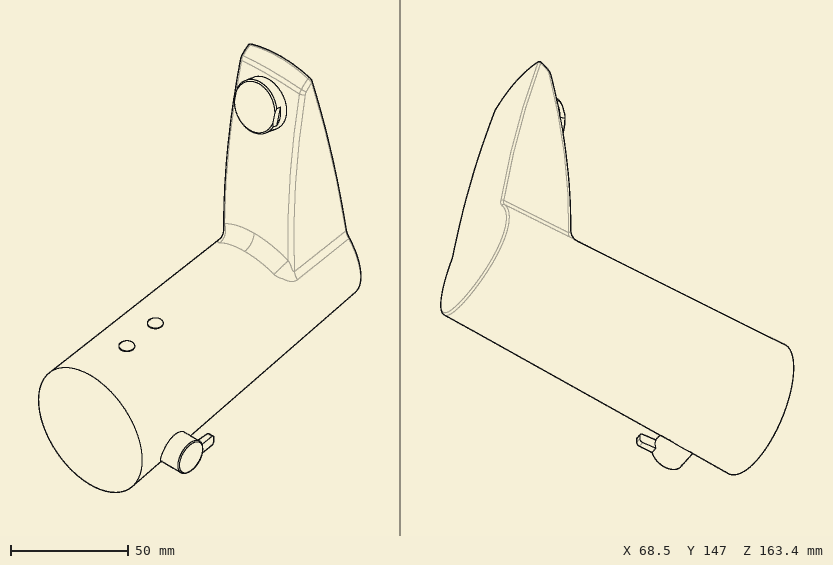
import cadquery as cq
import math


front_radius = 60.0 / 2
radius_loss = 0.022
barrel_tilt = 6.75
tilt_slope = math.tan(math.radians(barrel_tilt))
barrel_length = 158.5
barrel_lead = 16.3

column_base_z = 19.6
column_height = 117.7
column_front_y = 88.3
column_base_half_width = 20.5
side_draft = 1.1
column_edge_fillet = 2.0
column_brow_fillet = 4.1
base_fillet = 6.5
back_edge_fillet = 1.0

back_bottom = (147.0, -9.2)
back_top = (120.5, 133.5)
back_bulge = 3.5
back_crown_radius = 147.1
brow = (113.1, 128.3)
front_bottom = (103.3, 43.5)
front_bulge = 2.5
front_crown_radius = 122.6
top_bulge = 0.5
top_crown_radius = 81.7
shaving_thickness = 40.9
front_overrun = 27.8
top_overrun = 6.5
back_overrun = 14.7

disc_diameter = 24.0
disc_depth = 13.0
disc_face_y = 103.6
disc_face_z = 115.2
disc_tilt = 15.0
disc_chamfer = 0.7
flat_distance = 22.2
flat_depth = 3.1

button_places_y = (23.0, 41.0)
button_diameter = 6.9
button_height = 1.5
button_root = 2.5

overall_width = 68.5
knob_diameter = 15.7
knob_end_x = overall_width - front_radius
knob_y = 21.5
knob_z = -6.9
knob_chamfer = 0.5
lever_tip_y = 37.1
lever_inner_x = 34.8
lever_tip_x = 37.5
lever_height = 4.9
lever_tip_fillet = 1.5


def barrel_top_z(y):
    return tilt_slope * y + (front_radius - radius_loss * y) / math.cos(math.radians(barrel_tilt))


def crowned_shaving(start, end, bulge, crown_radius, overrun):
    """Ring whose inner face is arched from start to end and crowned across X.

    The outside of the face lies to the left of the way from start to end, seen from +X.
    """
    along_y = end[0] - start[0]
    along_z = end[1] - start[1]
    chord = math.hypot(along_y, along_z)
    arc_radius = chord**2 / (8 * bulge) + bulge / 2
    reach = chord / 2 + overrun
    reach_height = bulge - arc_radius + math.sqrt(arc_radius**2 - reach**2)
    middle = (0, (start[0] + end[0]) / 2, (start[1] + end[1]) / 2)
    plane = cq.Plane(origin=middle, xDir=(0, along_y, along_z), normal=(1, 0, 0))
    axis_height = bulge - crown_radius
    return (
        cq.Workplane(plane)
        .moveTo(-reach, reach_height)
        .threePointArc((0, bulge), (reach, reach_height))
        .lineTo(reach, shaving_thickness)
        .lineTo(-reach, shaving_thickness)
        .close()
        .revolve(360, (0, axis_height), (1, axis_height))
    )


def make_barrel():
    slanted_length = (barrel_length + barrel_lead) / math.cos(math.radians(barrel_tilt))
    start = cq.Vector(0, -barrel_lead, -barrel_lead * tilt_slope)
    cone = cq.Solid.makeCone(
        front_radius + radius_loss * barrel_lead,
        front_radius + radius_loss * (barrel_lead - slanted_length),
        slanted_length,
        start,
        cq.Vector(0, 1, tilt_slope),
    )
    envelope_side = 4 * front_radius
    envelope = cq.Workplane("XZ").rect(envelope_side, envelope_side).extrude(-barrel_length)
    return envelope.intersect(cq.Workplane(cone))


def make_column():
    lean = column_height * math.tan(math.radians(side_draft))
    outline = [
        (-column_base_half_width, column_base_z),
        (column_base_half_width, column_base_z),
        (column_base_half_width - lean, column_base_z + column_height),
        (lean - column_base_half_width, column_base_z + column_height),
    ]
    block = (
        cq.Workplane("XZ", origin=(0, barrel_length, 0))
        .polyline(outline)
        .close()
        .extrude(barrel_length - column_front_y)
    )
    front_cut = crowned_shaving(front_bottom, brow, front_bulge, front_crown_radius, front_overrun)
    top_cut = crowned_shaving(brow, back_top, top_bulge, top_crown_radius, top_overrun)
    column = block.cut(front_cut).cut(top_cut)
    column = column.edges(cq.NearestToPointSelector((0, *brow))).fillet(column_brow_fillet)
    front_middle_z = (front_bottom[1] + brow[1]) / 2
    for side in (-1, 1):
        front_side = (side * column_base_half_width, front_bottom[0], front_middle_z)
        column = column.edges(cq.NearestToPointSelector(front_side)).fillet(column_edge_fillet)
    return column


def make_disc():
    plane = cq.Plane(
        origin=(0, disc_face_y, disc_face_z),
        xDir=(1, 0, 0),
        normal=(0, -math.cos(math.radians(disc_tilt)), math.sin(math.radians(disc_tilt))),
    )
    disc = cq.Workplane(plane).circle(disc_diameter / 2).extrude(-disc_depth)
    disc = disc.faces(cq.NearestToPointSelector(plane.origin.toTuple())).chamfer(disc_chamfer)
    flats = (
        cq.Workplane(plane)
        .rect(2 * disc_diameter, 2 * disc_diameter)
        .rect(flat_distance, 2 * disc_diameter)
        .extrude(-flat_depth)
    )
    return disc.cut(flats)


def make_button(y):
    radius = button_diameter / 2
    rim_z = barrel_top_z(y)
    ball_radius = (radius**2 + button_height**2) / (2 * button_height)
    crown = cq.Workplane("XY", origin=(0, y, rim_z + button_height - ball_radius)).sphere(ball_radius)
    post = cq.Workplane("XY", origin=(0, y, rim_z - button_root)).circle(radius)
    return post.extrude(button_root + button_height).intersect(crown)


def make_knob():
    knob = (
        cq.Workplane("YZ", origin=(0, knob_y, knob_z))
        .circle(knob_diameter / 2)
        .extrude(knob_end_x)
        .faces(">X")
        .chamfer(knob_chamfer)
    )
    lever = (
        cq.Workplane("XY", origin=(0, 0, knob_z - lever_height / 2))
        .moveTo(lever_inner_x, knob_y)
        .lineTo(lever_inner_x, lever_tip_y)
        .lineTo(lever_tip_x, lever_tip_y)
        .lineTo(knob_end_x - knob_chamfer, knob_y + knob_diameter / 2)
        .lineTo(knob_end_x - knob_chamfer, knob_y)
        .close()
        .extrude(lever_height)
        .faces(">Y")
        .edges("|X")
        .fillet(lever_tip_fillet)
    )
    return knob.union(lever)


def make_shell():
    shell = make_barrel()
    for button_y in button_places_y:
        shell = shell.union(make_button(button_y))
    shell = shell.union(make_column())
    junction = (0, front_bottom[0], barrel_top_z(front_bottom[0]))
    shell = shell.edges(cq.NearestToPointSelector(junction)).fillet(base_fillet)
    back_cut = crowned_shaving(back_top, back_bottom, back_bulge, back_crown_radius, back_overrun)
    shell = shell.cut(back_cut)
    back_point = (0, (back_top[0] + back_bottom[0]) / 2, (back_top[1] + back_bottom[1]) / 2)
    back_face = shell.faces(cq.NearestToPointSelector(back_point))
    return back_face.edges().fillet(back_edge_fillet)


result = make_shell().union(make_disc()).union(make_knob())